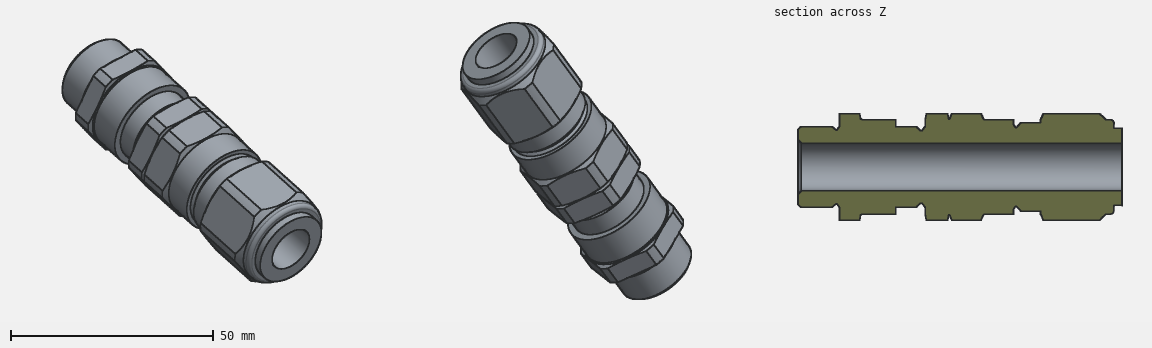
import cadquery as cq
import math

total_length = 80.3
entry_thread_end = 8.5
entry_root = 9.6
entry_hex_start = 10.3
entry_hex_end = 15.6
body_start = 15.95
body_end = 24.3
inner_thread_end = 29.4
inner_root_end = 30.8
middle_hex_start = 31.5
middle_hex_split = 37.4
middle_hex_end = 46.1
sleeve_end = 53.4
rear_groove_bottom = 54.0
rear_barrel_start = 55.2
cap_nut_start = 60.05
cap_nut_end = 76.3
cap_rim_end = 78.3

thread_radius = 10.0
thread_root_radius = 9.1
thread_flare_radius = 10.1
body_radius = 11.75
sleeve_end_radius = 10.6
rear_groove_radius = 9.7
rear_barrel_radius = 11.0
seal_radius = 9.6
bore_radius = 5.85

entry_chamfer = 0.75
bore_chamfer = 0.9
thread_runout = 0.9
rim_fillet = 1.0

across_flats = 24.0
hex_corner_radius = 13.2
cap_nut_turn = -2.65
collar_radius = across_flats / 2

no_chamfer = (0, 0)
entry_hex_chamfer = (0.25, hex_corner_radius - collar_radius)
locknut_chamfer = (0.3, 1.2)
nut_chamfer = (0.7, hex_corner_radius - body_radius)
cap_nut_rear_chamfer = (1.55, hex_corner_radius - body_radius)


def revolve_outline(sketch):
    """Close an open X-radius outline and turn it about the X axis."""
    return sketch.close().revolve(360, (0, 0, 0), (1, 0, 0))


def hexagon(start, end, front_chamfer, rear_chamfer, turn=0):
    """Chamfered hexagon along X, corners on the Y axis before turning it by degrees about X."""
    front_length, front_drop = front_chamfer
    rear_length, rear_drop = rear_chamfer
    envelope = cq.Workplane("XY").moveTo(start, 0).lineTo(start, hex_corner_radius - front_drop)
    if front_length:
        envelope = envelope.lineTo(start + front_length, hex_corner_radius)
    envelope = envelope.lineTo(end - rear_length, hex_corner_radius)
    envelope = envelope.lineTo(end, hex_corner_radius - rear_drop).lineTo(end, 0)
    prism = (
        cq.Workplane("YZ", origin=(start, 0, 0))
        .polygon(6, across_flats / math.cos(math.pi / 6))
        .extrude(end - start)
        .rotate((0, 0, 0), (1, 0, 0), turn)
    )
    return prism.intersect(revolve_outline(envelope))


def entry_body():
    """Entry thread, the body behind the entry hexagon and the inner thread."""
    outline = cq.Workplane("XY").polyline([
        (0, 0),
        (0, thread_radius - entry_chamfer),
        (entry_chamfer, thread_radius),
        (entry_thread_end, thread_radius),
        (entry_root, thread_root_radius),
        (entry_hex_start, thread_flare_radius),
        (entry_hex_end, thread_flare_radius),
        (entry_hex_end, collar_radius),
        (body_start, body_radius),
        (body_end, body_radius),
        (body_end, thread_radius),
        (inner_thread_end, thread_radius),
        (inner_thread_end + thread_runout, thread_root_radius),
        (inner_root_end, thread_root_radius),
        (middle_hex_start, thread_flare_radius),
        (middle_hex_end, thread_flare_radius),
        (middle_hex_end, 0),
    ])
    return revolve_outline(outline)


def rear_body():
    """Sleeve behind the middle nut, tapered groove and rear barrel."""
    outline = cq.Workplane("XY").polyline([
        (middle_hex_end, 0),
        (middle_hex_end, body_radius),
        (sleeve_end, body_radius),
        (sleeve_end, sleeve_end_radius),
        (rear_groove_bottom, rear_groove_radius),
        (rear_barrel_start, rear_barrel_radius),
        (cap_nut_end, rear_barrel_radius),
        (cap_nut_end, 0),
    ])
    return revolve_outline(outline)


def cap_rim():
    rim = cq.Workplane("YZ", origin=(cap_nut_end, 0, 0)).circle(body_radius)
    return rim.extrude(cap_rim_end - cap_nut_end).faces(">X").edges().fillet(rim_fillet)


def cable_seal():
    seal = cq.Workplane("YZ", origin=(cap_nut_end, 0, 0)).circle(seal_radius)
    return seal.extrude(total_length - cap_nut_end)


def bore():
    outline = cq.Workplane("XY").polyline([
        (0, 0),
        (0, bore_radius + bore_chamfer),
        (bore_chamfer, bore_radius),
        (total_length, bore_radius),
        (total_length, 0),
    ])
    return revolve_outline(outline)


entry_hex = hexagon(entry_hex_start, entry_hex_end, no_chamfer, entry_hex_chamfer)
locknut = hexagon(middle_hex_start, middle_hex_split, locknut_chamfer, locknut_chamfer)
middle_nut = hexagon(middle_hex_split, middle_hex_end, nut_chamfer, nut_chamfer)
cap_nut = hexagon(cap_nut_start, cap_nut_end, nut_chamfer, cap_nut_rear_chamfer, cap_nut_turn)

result = entry_body()
for section in (entry_hex, locknut, middle_nut, rear_body(), cap_nut, cap_rim(), cable_seal()):
    result = result.union(section)
result = result.cut(bore())